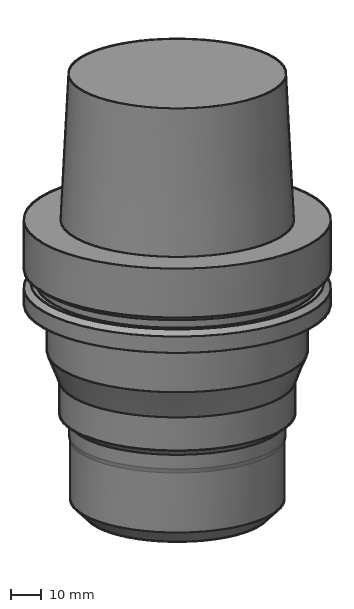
import cadquery as cq

boss_radius = 44.9 / 2
nose_radius = 70.0 / 2
neck_radius = 70.6 / 2
collar_radius = 77.0 / 2
shoulder_radius = 85.0 / 2
flange_radius = 100.0 / 2
groove_radius = 92.0 / 2
taper_base_radius = 38.0
taper_top_radius = 35.5

total_height = 151.6
boss_top = 0.8
nose_chamfer = 4.9
nose_top = 26.0
neck_bottom = 27.6
neck_top = 32.5
collar_edge_break_top = 35.0
collar_top = 46.4
shoulder_bottom = 56.4
flange_bottom = 72.5
groove_bottom = 79.7
groove_top = 83.0
flange_top = 101.4

collar_edge_break_width = 1.8
collar_edge_break_height = 0.8
groove_lip_width = 2.3
groove_lip_height = 1.7

groove_lip_radius = flange_radius - groove_lip_width

nose_profile = [
    (0, 0),
    (boss_radius, 0),
    (boss_radius, boss_top),
    (nose_radius - nose_chamfer, boss_top),
    (nose_radius, boss_top + nose_chamfer),
    (nose_radius, nose_top),
    (neck_radius, neck_bottom),
    (neck_radius, neck_top),
]

collar_profile = [
    (collar_radius - collar_edge_break_width, collar_edge_break_top - collar_edge_break_height),
    (collar_radius, collar_edge_break_top),
    (collar_radius, collar_top),
    (shoulder_radius, shoulder_bottom),
    (shoulder_radius, flange_bottom),
]

flange_profile = [
    (flange_radius, flange_bottom),
    (flange_radius, groove_bottom - groove_lip_height),
    (groove_lip_radius, groove_bottom),
    (groove_radius, groove_bottom),
    (groove_radius, groove_top),
    (groove_lip_radius, groove_top),
    (flange_radius, groove_top + groove_lip_height),
    (flange_radius, flange_top),
]

taper_profile = [
    (taper_base_radius, flange_top),
    (taper_top_radius, total_height),
    (0, total_height),
]

result = (
    cq.Workplane("XZ")
    .polyline(nose_profile + collar_profile + flange_profile + taper_profile)
    .close()
    .revolve(360, (0, 0, 0), (0, 1, 0))
)